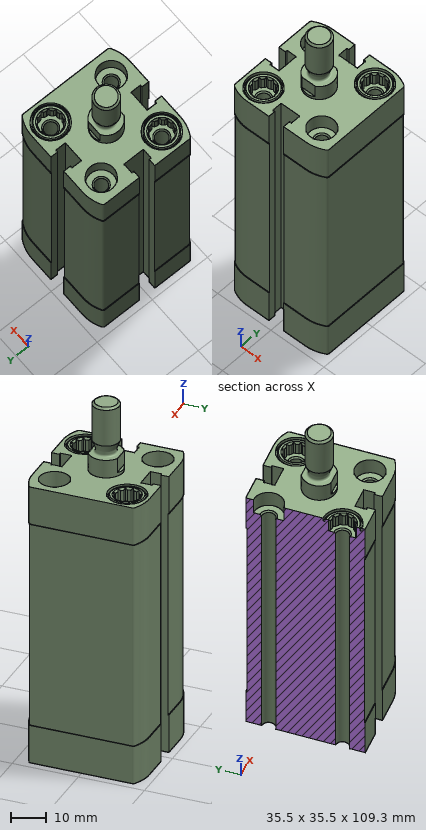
import cadquery as cq
import math

total_height = 109.3
housing_height = 87.8
cap_height = 11.9
cap_width = 35.5
cap_half_width = cap_width / 2
barrel_inset = 0.2

side_arc_start = 11.0
side_arc_radius = 12.5
corner_radius = 0.9

slot_mouth_width = 5.6
slot_width = 7.0
slot_lip_position = 15.3
slot_floor_position = 11.9
slot_angles = (90, 180, 270)

hole_spacing = 22.0
hole_offset = hole_spacing / 2
through_diameter = 4.2
through_chamfer_diameter = 5.0
recess_diameter = 9.0
recess_depth = 5.0

groove_diameter = 11.5
groove_depth = 1.1
head_diameter = 10.5
head_chamfer = 0.3
head_recess = 0.1
tooth_count = 12
tooth_tip_diameter = 7.4
tooth_root_diameter = 8.3
tooth_tip_angle = 15.0
socket_mouth_diameter = 8.4
socket_mouth_depth = 0.7
socket_depth = 4.4

collar_diameter = 10.2
collar_height = 5.6
flat_spacing = 8.9
flat_height = 4.4
flat_runout_drop = 0.3
neck_diameter = 6.1
neck_fillet = 0.7
cone_start = 7.1
cone_end = 9.5
thread_diameter = 8.0
thread_chamfer = 0.7


def outline_prism(half_width, bottom, height):
    """Square prism whose front and back faces curve in towards the rounded corners."""
    arc_center_y = half_width - side_arc_radius

    def arc_y(x):
        return arc_center_y + math.sqrt(side_arc_radius**2 - (x - side_arc_start) ** 2)

    corner_y = arc_y(half_width)
    middle_x = (side_arc_start + half_width) / 2
    middle_y = arc_y(middle_x)
    return (
        cq.Workplane("XY", origin=(0, 0, bottom))
        .moveTo(-side_arc_start, half_width)
        .lineTo(side_arc_start, half_width)
        .threePointArc((middle_x, middle_y), (half_width, corner_y))
        .lineTo(half_width, -corner_y)
        .threePointArc((middle_x, -middle_y), (side_arc_start, -half_width))
        .lineTo(-side_arc_start, -half_width)
        .threePointArc((-middle_x, -middle_y), (-half_width, -corner_y))
        .lineTo(-half_width, corner_y)
        .threePointArc((-middle_x, middle_y), (-side_arc_start, half_width))
        .close()
        .extrude(height)
        .edges("|Z and (>X or <X)")
        .fillet(corner_radius)
    )


def t_slot(angle):
    """Full-height T-slot cutter for the face that points along the angle."""
    lip_depth = cap_half_width - slot_lip_position
    mouth = cq.Workplane("XY").box(lip_depth, slot_mouth_width, housing_height, centered=(False, True, False))
    channel_depth = slot_lip_position - slot_floor_position
    channel = cq.Workplane("XY").box(channel_depth, slot_width, housing_height, centered=(False, True, False))
    cutter = mouth.translate((slot_lip_position, 0, 0)).union(channel.translate((slot_floor_position, 0, 0)))
    return cutter.rotate((0, 0, 0), (0, 0, 1), angle)


def cone_cut(x, y, top, top_diameter, bottom_diameter, depth):
    """Countersink cutter with its wide end at the given height."""
    cone = cq.Solid.makeCone(bottom_diameter / 2, top_diameter / 2, depth, cq.Vector(x, y, top - depth))
    return cq.Workplane(obj=cone)


def through_hole(x, y, floor):
    """Through hole with a chamfered mouth at the given floor height."""
    through_chamfer_depth = (through_chamfer_diameter - through_diameter) / 2
    bore = cq.Workplane("XY").center(x, y).circle(through_diameter / 2).extrude(housing_height)
    mouth = cone_cut(x, y, floor, through_chamfer_diameter, through_diameter, through_chamfer_depth)
    return bore.union(mouth)


def round_recess(x, y):
    """Plain counterbore cutter."""
    floor = housing_height - recess_depth
    return cq.Workplane("XY", origin=(x, y, floor)).circle(recess_diameter / 2).extrude(recess_depth)


def head_groove(x, y):
    """Recess cutter that leaves a sunk screw head with a chamfered rim."""
    bottom = housing_height - groove_depth
    recess = cq.Workplane("XY", origin=(x, y, bottom)).circle(groove_diameter / 2).extrude(groove_depth)
    head = (
        cq.Workplane("XY", origin=(x, y, bottom))
        .circle(head_diameter / 2)
        .extrude(groove_depth - head_recess)
        .faces(">Z")
        .chamfer(head_chamfer)
    )
    return recess.cut(head)


def polar_point(diameter, angle):
    """Point on a circle of the given diameter, at an angle in degrees."""
    turn = math.radians(angle)
    return diameter / 2 * math.cos(turn), diameter / 2 * math.sin(turn)


def toothed_socket(x, y):
    """Socket cutter with straight teeth around its wall and a chamfered mouth."""
    corners = []
    pitch = 360 / tooth_count
    for tooth in range(tooth_count):
        root_angle = tooth * pitch
        tip_start = root_angle + (pitch - tooth_tip_angle) / 2
        tip_end = tip_start + tooth_tip_angle
        corners.append(polar_point(tooth_root_diameter, root_angle))
        corners.append(polar_point(tooth_tip_diameter, tip_start))
        corners.append(polar_point(tooth_tip_diameter, tip_end))
    floor = housing_height - socket_depth
    head_top = housing_height - head_recess
    teeth = cq.Workplane("XY", origin=(x, y, floor)).polyline(corners).close().extrude(socket_depth)
    mouth = cone_cut(x, y, head_top, socket_mouth_diameter, tooth_tip_diameter, socket_mouth_depth)
    return teeth.union(mouth)


def build_housing():
    """Barrel between two end caps, with T-slots and corner holes."""
    upper_cap_bottom = housing_height - cap_height
    body = outline_prism(cap_half_width - barrel_inset, cap_height, upper_cap_bottom - cap_height)
    for bottom in (0, upper_cap_bottom):
        body = body.union(outline_prism(cap_half_width, bottom, cap_height))
    for angle in slot_angles:
        body = body.cut(t_slot(angle))
    for x in (-hole_offset, hole_offset):
        for y in (-hole_offset, hole_offset):
            if x == y:
                body = body.cut(through_hole(x, y, housing_height - socket_depth))
                body = body.cut(head_groove(x, y)).cut(toothed_socket(x, y))
            else:
                body = body.cut(through_hole(x, y, housing_height - recess_depth))
                body = body.cut(round_recess(x, y))
    return body


def flat_cutters():
    """Two opposite cutters for the wrench flats, each with a sloping lower ledge."""
    flat_y = flat_spacing / 2
    outer_y = collar_diameter / 2
    collar_top = housing_height + collar_height
    flat_bottom = collar_top - flat_height
    front = (
        cq.Workplane("YZ", origin=(-outer_y, 0, 0))
        .moveTo(-flat_y, collar_top)
        .lineTo(-flat_y, flat_bottom)
        .lineTo(-outer_y, flat_bottom - flat_runout_drop)
        .lineTo(-outer_y, collar_top)
        .close()
        .extrude(collar_diameter)
    )
    return front, front.mirror("XZ")


def build_rod():
    """Rod end with a flatted collar, a filleted neck and a chamfered thread section."""
    rod_length = total_height - housing_height
    neck_radius = neck_diameter / 2
    thread_radius = thread_diameter / 2
    rod = (
        cq.Workplane("XZ", origin=(0, 0, housing_height))
        .lineTo(collar_diameter / 2, 0)
        .lineTo(collar_diameter / 2, collar_height)
        .lineTo(neck_radius, collar_height)
        .lineTo(neck_radius, cone_start)
        .lineTo(thread_radius, cone_end)
        .lineTo(thread_radius, rod_length - thread_chamfer)
        .lineTo(thread_radius - thread_chamfer, rod_length)
        .lineTo(0, rod_length)
        .close()
        .revolve(360, (0, 0), (0, 1))
    )
    rod = rod.edges("%CIRCLE").edges(cq.selectors.RadiusNthSelector(0)).fillet(neck_fillet)
    for cutter in flat_cutters():
        rod = rod.cut(cutter)
    return rod


housing = build_housing()
rod = build_rod()
result = cq.Compound.makeCompound([housing.val(), rod.val()])